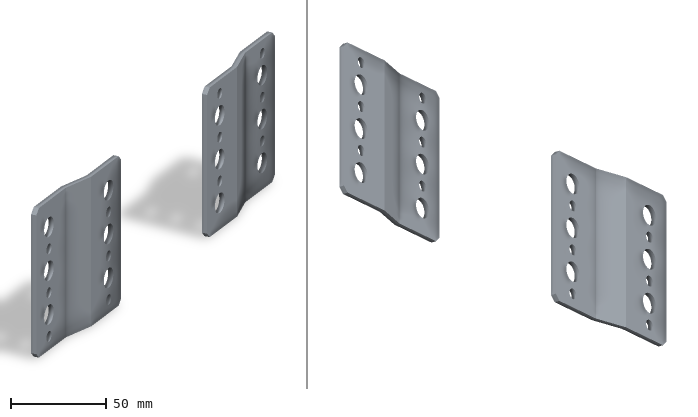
import cadquery as cq
import math

overall_length = 279.7

plate_length = 89.5
plate_height = 85.0
thickness = 3.0
joggle_offset = 5.0
joggle_length = 19.5
corner_chamfer = 3.0

column_spacing = 60.0
hole_pitch = 25.0
holes_per_size = 3
large_diameter = 11.2
small_diameter = 6.0
large_row_shift = -2.5
small_row_shift = large_row_shift + hole_pitch / 2

bend_angle = math.atan2(joggle_offset, joggle_length)
miter_shift = thickness / 2 * math.tan(bend_angle / 2)
plate_center_y = (overall_length - plate_length) / 2
plate_depth = joggle_offset + thickness


def joggled_strip():
    """Bent strip, centred on the origin, with its +Y end stepped towards -X."""
    end_y = plate_length / 2
    bend_y = joggle_length / 2
    outer_x = plate_depth / 2
    inner_x = outer_x - thickness
    outline = [
        (-outer_x, end_y),
        (-outer_x, bend_y - miter_shift),
        (inner_x, -bend_y - miter_shift),
        (inner_x, -end_y),
        (outer_x, -end_y),
        (outer_x, -bend_y + miter_shift),
        (-inner_x, bend_y + miter_shift),
        (-inner_x, end_y),
    ]
    return (
        cq.Workplane("XY")
        .polyline(outline)
        .close()
        .extrude(plate_height / 2, both=True)
    )


def hole_cutters(diameter, row_shift):
    """Two columns of cylinders along X, the middle row at height row_shift."""
    return (
        cq.Workplane("YZ")
        .center(0, row_shift)
        .rarray(column_spacing, hole_pitch, 2, holes_per_size)
        .circle(diameter / 2)
        .extrude(plate_depth, both=True)
    )


def joggle_plate():
    """Joggled plate with chamfered corners and two columns of alternating holes."""
    plate = joggled_strip()
    plate = plate.faces("<Y or >Y").edges("|X").chamfer(corner_chamfer)
    plate = plate.cut(hole_cutters(large_diameter, large_row_shift))
    return plate.cut(hole_cutters(small_diameter, small_row_shift))


plates = []
for turn in (0, 180):
    plate = joggle_plate().translate((0, plate_center_y, 0))
    plates.append(plate.rotate((0, 0, 0), (1, 0, 0), turn))

result = cq.Compound.makeCompound([plate.val() for plate in plates])